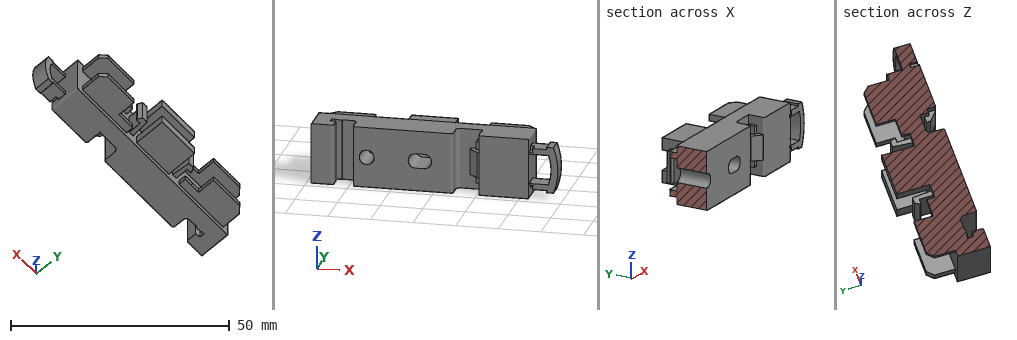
import cadquery as cq
import math

total_length = 57.85
total_height = 15.9

base_length = 51.1
base_height = 8.0
base_width = 14.4
base_end_fillet = 0.3
slot_roof = 4.15
left_leg_end = 5.25
block_start = 9.85
block_end = 33.25
right_leg_start = 39.3
foot_fillet = 0.45
roof_fillet = 1.05
undercut_start = 3.95
lip_root_height = 3.0
lip_tip_height = 2.8
pad_start = 4.75
pad_end = 6.4
pad_depth = 0.2
corner_tolerance = 0.005

hole_diameter = 3.5
round_hole_x = 13.1
slot_hole_length = 5.45

middle = base_length / 2
holder_width = 10.95
center_holder_length = 11.0
center_wall = 3.0
side_holder_start = 1.6
side_holder_step = 12.05
side_holder_end = 16.6
side_holder_height = 14.5
side_step_height = 9.9
side_chamfer = 1.5
side_wall = 1.6

clip_width = holder_width - 2 * side_wall
clip_height = 12.75
clip_barb_height = 11.65
clip_hook_height = 11.35
clip_tip_x = 16.3
clip_top_start = 16.9
clip_stem_x = 17.55
clip_top_end = 18.4
clip_root_end = 18.8

latch_bottom = 0.25
tongue_tip = 36.85
tongue_top = 3.1
tongue_tip_bottom = 2.15
tongue_bottom_start = 38.95
tongue_width = 6.15
tab_start = 38.3
tab_bottom = 2.1
arm_outer = 5.0
arm_inner = 3.55
notch_end = 51.95
notch_inner = 3.95
grip_start = 55.25
grip_half_width = 5.5
grip_corner = 56.8
window_corner = 55.65
window_middle = 56.25


def extrude_centered(outline, width):
    """Extrude an XY outline evenly to both sides of Z = 0."""
    return outline.extrude(width / 2, both=True)


def box_between(x_range, y_range, z_range):
    """Box given by its start and end along each axis."""
    ranges = (x_range, y_range, z_range)
    size = [end - start for start, end in ranges]
    corner = [start for start, end in ranges]
    return cq.Workplane("XY").box(*size, centered=False).translate(tuple(corner))


def mirror_about_middle(body):
    """Mirror image of a body across the middle of the base."""
    return body.mirror("YZ", (middle, 0, 0))


def long_edges(body, corners):
    """Edges of a body along Z that pass through the given XY corners."""
    def at_corner(edge):
        center = edge.Center()
        return any(
            math.hypot(center.x - x, center.y - y) < corner_tolerance for x, y in corners
        )

    return body.edges("|Z").filter(at_corner)


def make_base():
    base = extrude_centered(
        cq.Workplane("XY").polyline([
            (0, 0),
            (left_leg_end, 0),
            (left_leg_end, lip_tip_height),
            (undercut_start, lip_root_height),
            (undercut_start, slot_roof),
            (block_start, slot_roof),
            (block_start, 0),
            (block_end, 0),
            (block_end, slot_roof),
            (right_leg_start, slot_roof),
            (right_leg_start, 0),
            (base_length, 0),
            (base_length, base_height),
            (0, base_height),
        ]).close(),
        base_width,
    )

    foot_corners = [(x, 0) for x in (left_leg_end, block_start, block_end, right_leg_start)]
    roof_corners = [(x, slot_roof) for x in (block_start, block_end)]
    base = long_edges(base, foot_corners).fillet(foot_fillet)
    base = long_edges(base, roof_corners).fillet(roof_fillet)
    base = base.faces("<X or >X").edges("|Y").fillet(base_end_fillet)

    half_width = base_width / 2
    pad = box_between(
        (pad_start, pad_end), (slot_roof - pad_depth, base_height), (-half_width, half_width)
    )
    return base.union(pad)


def make_center_holder():
    start = middle - center_holder_length / 2
    end = middle + center_holder_length / 2
    half_width = holder_width / 2
    heights = (base_height, total_height)
    upper = box_between((start, end), heights, (half_width - center_wall, half_width))
    return upper.union(upper.mirror("XY"))


def make_side_holder():
    outline = cq.Workplane("XY").polyline([
        (side_holder_start, base_height),
        (side_holder_start, side_holder_height - side_chamfer),
        (side_holder_start + side_chamfer, side_holder_height),
        (side_holder_step, side_holder_height),
        (side_holder_step, side_step_height),
        (side_holder_end, side_step_height),
        (side_holder_end, base_height),
    ]).close()
    upper = outline.extrude(side_wall).translate((0, 0, holder_width / 2 - side_wall))
    return upper.union(upper.mirror("XY"))


def make_clip():
    outline = cq.Workplane("XY").polyline([
        (clip_stem_x, base_height),
        (clip_stem_x, clip_hook_height),
        (clip_tip_x, clip_hook_height),
        (clip_tip_x, clip_barb_height),
        (clip_top_start, clip_height),
        (clip_top_end, clip_height),
        (clip_root_end, base_height),
    ]).close()
    return extrude_centered(outline, clip_width)


def make_tongue():
    outline = cq.Workplane("XY").polyline([
        (tongue_tip, tongue_top),
        (tongue_tip, tongue_tip_bottom),
        (tongue_bottom_start, latch_bottom),
        (right_leg_start + foot_fillet, latch_bottom),
        (right_leg_start + foot_fillet, tongue_top),
    ]).close()
    tab = box_between(
        (tab_start, right_leg_start), (tab_bottom, slot_roof), (-arm_outer, arm_outer)
    )
    return extrude_centered(outline, tongue_width).union(tab)


def make_handle():
    outer = (
        cq.Workplane("XZ")
        .moveTo(base_length, -arm_outer)
        .lineTo(grip_start, -arm_outer)
        .lineTo(grip_start, -grip_half_width)
        .lineTo(grip_corner, -grip_half_width)
        .threePointArc((total_length, 0), (grip_corner, grip_half_width))
        .lineTo(grip_start, grip_half_width)
        .lineTo(grip_start, arm_outer)
        .lineTo(base_length, arm_outer)
        .close()
        .extrude(slot_roof - latch_bottom)
    )
    window = (
        cq.Workplane("XZ")
        .moveTo(base_length, -arm_inner)
        .lineTo(window_corner, -arm_inner)
        .threePointArc((window_middle, 0), (window_corner, arm_inner))
        .lineTo(base_length, arm_inner)
        .close()
        .extrude(slot_roof - latch_bottom)
    )
    handle = outer.cut(window).translate((0, slot_roof, 0))
    notch = box_between(
        (base_length, notch_end), (latch_bottom, tab_bottom), (notch_inner, arm_outer)
    )
    return handle.cut(notch).cut(notch.mirror("XY"))


def make_screw_holes():
    round_hole = (
        cq.Workplane("XZ")
        .center(round_hole_x, 0)
        .circle(hole_diameter / 2)
        .extrude(-base_height)
    )
    slot_hole = (
        cq.Workplane("XZ")
        .center(middle, 0)
        .slot2D(slot_hole_length, hole_diameter)
        .extrude(-base_height)
    )
    return round_hole.union(slot_hole)


side_holder = make_side_holder()
clip = make_clip()

result = (
    make_base()
    .cut(make_screw_holes())
    .union(make_center_holder())
    .union(side_holder)
    .union(mirror_about_middle(side_holder))
    .union(clip)
    .union(mirror_about_middle(clip))
    .union(make_tongue())
    .union(make_handle())
)